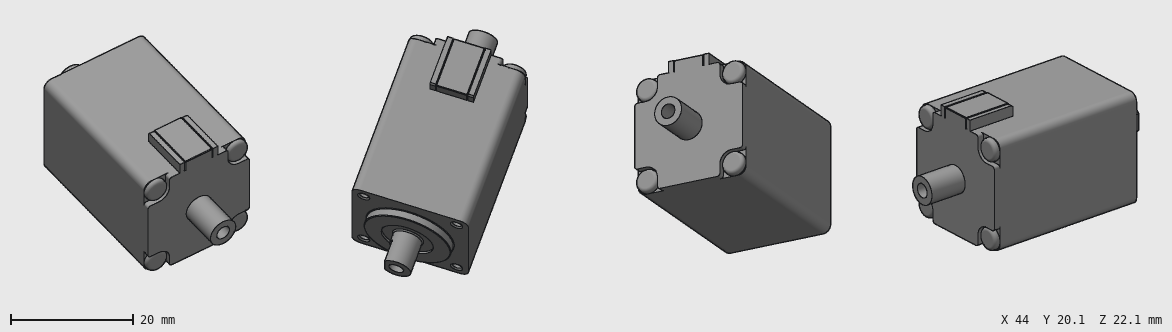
import cadquery as cq


BODY_LENGTH = 30.0
BODY_SIDE = 20.1
BODY_CORNER_RADIUS = 1.5

BOSS_DIAMETER = 15.0
BOSS_LENGTH = 1.45
BOSS_CHAMFER = 0.15
BOSS_BASE_FLARE = 0.15
RECESS_DIAMETER = 8.98
RECESS_DEPTH = 0.4

SHAFT_DIAMETER = 5.0
SHAFT_BORE_DIAMETER = 2.5
SHAFT_LENGTH = 44
SHAFT_OVERHANG = (SHAFT_LENGTH - BODY_LENGTH) / 2
COLLAR_BASE_DIAMETER = 5.4
COLLAR_HEIGHT = 0.25
FLAT_LENGTH = 4.0
FLAT_OFFSET = 2.02

SCREW_SPACING = 16.0
HOLE_DIAMETER = 1.6
HOLE_DEPTH = 4.0
HOLE_CHAMFER = 0.25
HOLE_TIP_LENGTH = 0.45
NOTCH_DEPTH = 1.2
NOTCH_CLEARANCE_RADIUS = 2.2
NOTCH_EDGE_RADIUS = 0.5
HEAD_DIAMETER = 4.1
HEAD_HEIGHT = 1.0
HEAD_ROUNDING = 0.6

CONNECTOR_LENGTH = 9.0
CONNECTOR_WIDTH = 7.52
CONNECTOR_HEIGHT = 2.0
CONNECTOR_CORE_WIDTH = 5.45
CONNECTOR_GAP = 0.1
CONNECTOR_CORE_CHAMFER = 0.15
WING_CHAMFER = 0.25

HALF_SIDE = BODY_SIDE / 2
SCREW_OFFSET = SCREW_SPACING / 2
SCREW_CENTERS = [(y * SCREW_OFFSET, z * SCREW_OFFSET) for y in (-1, 1) for z in (-1, 1)]


def rod(diameter, start, length):
    """Cylinder on the motor axis that runs from X = start toward +X."""
    return cq.Workplane("YZ", origin=(start, 0, 0)).circle(diameter / 2).extrude(length)


def make_body():
    block = cq.Workplane("YZ").rect(BODY_SIDE, BODY_SIDE).extrude(BODY_LENGTH)
    return block.edges("|X").fillet(BODY_CORNER_RADIUS)


def turned(profile):
    """Solid of revolution about the X axis from (x, radius) points."""
    return cq.Workplane("XY").polyline(profile).close().revolve(360, (0, 0), (1, 0))


def make_boss():
    """Boss with a chamfered front edge, a small flare at the body and the recess in its face."""
    radius = BOSS_DIAMETER / 2
    boss = turned([
        (-BOSS_LENGTH, 0),
        (-BOSS_LENGTH, radius - BOSS_CHAMFER),
        (BOSS_CHAMFER - BOSS_LENGTH, radius),
        (-BOSS_BASE_FLARE, radius),
        (0, radius + BOSS_BASE_FLARE),
        (0, 0),
    ])
    return boss.cut(rod(RECESS_DIAMETER, -BOSS_LENGTH, RECESS_DEPTH))


def make_shaft():
    """Solid shaft with the flat on its +Y side and a conical collar in the recess."""
    front = -SHAFT_OVERHANG
    shaft = rod(SHAFT_DIAMETER, front, SHAFT_LENGTH)
    flat_cut = cq.Workplane("XY").box(
        FLAT_LENGTH, SHAFT_DIAMETER, SHAFT_DIAMETER, centered=(False, False, True)
    ).translate((front, FLAT_OFFSET, 0))
    recess_floor = RECESS_DEPTH - BOSS_LENGTH
    collar = turned([
        (recess_floor - COLLAR_HEIGHT, 0),
        (recess_floor - COLLAR_HEIGHT, SHAFT_DIAMETER / 2),
        (recess_floor, COLLAR_BASE_DIAMETER / 2),
        (recess_floor, 0),
    ])
    return shaft.cut(flat_cut).union(collar)


def make_front_hole():
    """Blind hole with a chamfered mouth and a conical tip."""
    radius = HOLE_DIAMETER / 2
    return turned([
        (0, 0),
        (0, radius + HOLE_CHAMFER),
        (HOLE_CHAMFER, radius),
        (HOLE_DEPTH, radius),
        (HOLE_DEPTH + HOLE_TIP_LENGTH, 0),
    ])


def make_corner_notch():
    """Clearance around the screw head at the +Y +Z corner, flared where it meets the two faces."""
    inner = SCREW_OFFSET - NOTCH_CLEARANCE_RADIUS
    lip = HALF_SIDE - NOTCH_EDGE_RADIUS
    flare = inner - NOTCH_EDGE_RADIUS
    outline = (
        cq.Workplane("YZ", origin=(BODY_LENGTH - NOTCH_DEPTH, 0, 0))
        .moveTo(flare, HALF_SIDE)
        .radiusArc((inner, lip), NOTCH_EDGE_RADIUS)
        .lineTo(inner, SCREW_OFFSET)
        .radiusArc((SCREW_OFFSET, inner), -NOTCH_CLEARANCE_RADIUS)
        .lineTo(lip, inner)
        .radiusArc((HALF_SIDE, flare), NOTCH_EDGE_RADIUS)
        .lineTo(HALF_SIDE, HALF_SIDE)
        .close()
    )
    return outline.extrude(NOTCH_DEPTH)


def make_screw_head():
    head = rod(HEAD_DIAMETER, BODY_LENGTH - NOTCH_DEPTH, HEAD_HEIGHT)
    return head.faces(">X").edges().fillet(HEAD_ROUNDING)


def connector_block(width):
    """Block of the connector's length and height, standing on the top face at the rear."""
    block = cq.Workplane("XY").box(CONNECTOR_LENGTH, width, CONNECTOR_HEIGHT, centered=(False, True, False))
    return block.translate((BODY_LENGTH - CONNECTOR_LENGTH, 0, HALF_SIDE))


def make_connector_core():
    core = connector_block(CONNECTOR_CORE_WIDTH)
    return core.edges("|Z or >Z").chamfer(CONNECTOR_CORE_CHAMFER)


def make_connector_wing(side):
    """Wing on the +Y (side = 1) or -Y (side = -1) side of the core, chamfered at its front top edge."""
    wing_width = (CONNECTOR_WIDTH - CONNECTOR_CORE_WIDTH) / 2 - CONNECTOR_GAP
    wing = connector_block(wing_width).faces("<X").edges(">Z").chamfer(WING_CHAMFER)
    return wing.translate((0, side * (CONNECTOR_WIDTH - wing_width) / 2, 0))


result = make_body().union(make_boss()).union(make_shaft())
result = result.cut(rod(SHAFT_BORE_DIAMETER, -SHAFT_OVERHANG, SHAFT_LENGTH))

for quarter in range(4):
    result = result.cut(make_corner_notch().rotate((0, 0, 0), (1, 0, 0), 90 * quarter))

for screw_y, screw_z in SCREW_CENTERS:
    result = result.cut(make_front_hole().translate((0, screw_y, screw_z)))
    result = result.union(make_screw_head().translate((0, screw_y, screw_z)))

result = result.union(make_connector_core())
for side in (-1, 1):
    result = result.union(make_connector_wing(side))